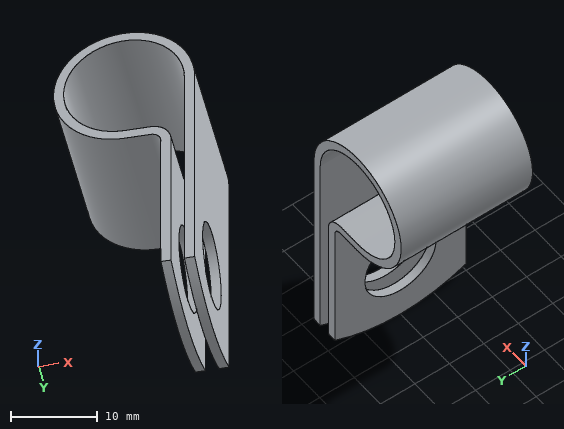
import cadquery as cq
import math

total_height = 39.3
strap_width = 19.05
loop_diameter = 16.7
strap_thickness = 1.2
leg_gap = 1.57
bend_inner_radius = 1.18
tip_rise = 2.15
hole_diameter = 10.3
hole_height = 9.5

outer_radius = loop_diameter / 2
inner_radius = outer_radius - strap_thickness
bend_outer_radius = bend_inner_radius + strap_thickness
tip_z = outer_radius - total_height
long_leg_inside = inner_radius
short_leg_right = long_leg_inside - leg_gap
short_leg_left = short_leg_right - strap_thickness
bend_x = short_leg_right - bend_outer_radius
bend_z = -inner_radius - bend_outer_radius
diagonal = math.sqrt(0.5)


def make_strap():
    """Extrude the looped strip, with both legs still square-ended."""
    return (
        cq.Workplane("XZ")
        .moveTo(outer_radius, tip_z)
        .lineTo(outer_radius, 0)
        .threePointArc((-outer_radius * diagonal, outer_radius * diagonal), (0, -outer_radius))
        .lineTo(bend_x, -outer_radius)
        .threePointArc(
            (bend_x + bend_inner_radius * diagonal, bend_z + bend_inner_radius * diagonal),
            (short_leg_left, bend_z),
        )
        .lineTo(short_leg_left, tip_z)
        .lineTo(short_leg_right, tip_z)
        .lineTo(short_leg_right, bend_z)
        .threePointArc(
            (bend_x + bend_outer_radius * diagonal, bend_z + bend_outer_radius * diagonal),
            (bend_x, -inner_radius),
        )
        .lineTo(0, -inner_radius)
        .threePointArc((-inner_radius * diagonal, inner_radius * diagonal), (inner_radius, 0))
        .lineTo(long_leg_inside, tip_z)
        .close()
        .extrude(strap_width / 2, both=True)
    )


def make_side_envelope():
    """Side outline, rounded at the bottom, spanning the full depth in X."""
    half_width = strap_width / 2
    return (
        cq.Workplane("YZ")
        .moveTo(-half_width, outer_radius)
        .lineTo(-half_width, tip_z + tip_rise)
        .threePointArc((0, tip_z), (half_width, tip_z + tip_rise))
        .lineTo(half_width, outer_radius)
        .close()
        .extrude(outer_radius, both=True)
    )


def make_screw_hole():
    """Cylinder that pierces both legs."""
    return (
        cq.Workplane("YZ")
        .center(0, tip_z + hole_height)
        .circle(hole_diameter / 2)
        .extrude(outer_radius, both=True)
    )


result = make_strap().intersect(make_side_envelope()).cut(make_screw_hole())